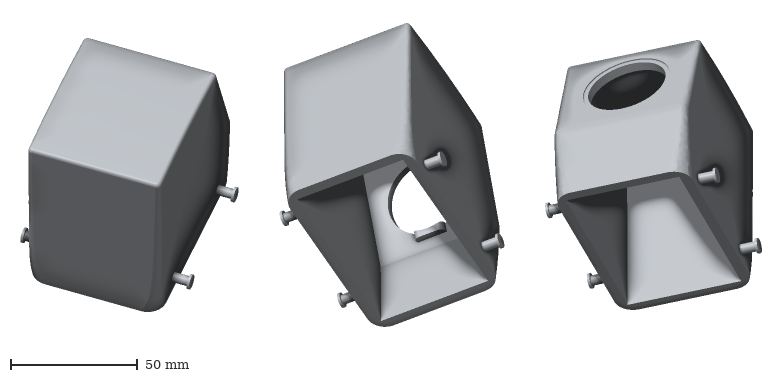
import cadquery as cq
import math

BODY_WIDTH = 55.9
BODY_LENGTH = 82.0
BODY_HEIGHT = 76.9
WALL = 4.3

FRONT_DRAFT = 0.9
BACK_DRAFT = 0.3
FRONT_EAVE_Z = 75.1
SLOPE_FOOT_Z = 31.65
SLOPE_TOP_Y = 23.8
SLOPE_TOP_Z = 75.7
CROWN_Y = -4.9

SLOPE_FOOT_RADIUS = 12.3
ROOF_EDGE_RADIUS = 1.55

FRONT_ROUNDING = [(0.0, 7.7), (15.6, 3.5), (31.2, 2.8), (46.7, 2.4), (62.3, 2.05), (77.9, 1.7)]
BACK_ROUNDING = [(0.0, 7.7), (13.1, 4.9), (SLOPE_FOOT_Z, 3.1)]
SLOPE_ROUNDING = [(SLOPE_FOOT_Z, 3.1), (77.9, 1.7)]

ENTRY_DIAMETER = 32.15
RECESS_DIAMETER = 36.1
RECESS_DEPTH = 0.5
ENTRY_Z = 53.95
TAB_WIDTH = 12.95
TAB_THICKNESS = 2.5
TAB_LENGTH = 8.1
TAB_CORNER_RADIUS = 2.5

PIN_SPAN = 71.0
PIN_SPACING = 49.5
PIN_Z = 6.2
PIN_DIAMETER = 4.1
PIN_HEAD_DIAMETER = 6.15
PIN_HEAD_THICKNESS = 1.1

MARGIN = 4.1

half_width = BODY_WIDTH / 2
half_length = BODY_LENGTH / 2
slope_foot_y = half_length - BACK_DRAFT
slope_run = slope_foot_y - SLOPE_TOP_Y
slope_rise = SLOPE_TOP_Z - SLOPE_FOOT_Z


def side_profile(rim_z=0.0):
    """Closed YZ outline of the hood, starting at the height rim_z."""
    return (
        cq.Workplane("YZ")
        .moveTo(-half_length, rim_z)
        .lineTo(half_length, rim_z)
        .lineTo(slope_foot_y, SLOPE_FOOT_Z)
        .lineTo(SLOPE_TOP_Y, SLOPE_TOP_Z)
        .threePointArc((CROWN_Y, BODY_HEIGHT), (-half_length + FRONT_DRAFT, FRONT_EAVE_Z))
        .close()
    )


def front_wall(z):
    """Distance of the front wall from the XZ plane at height z."""
    return half_length - FRONT_DRAFT * z / FRONT_EAVE_Z


def back_wall(z):
    """Distance of the back wall from the XZ plane at height z."""
    return half_length - BACK_DRAFT * z / SLOPE_FOOT_Z


def slope_wall(z):
    """Distance of the sloping wall from the XZ plane at height z."""
    return slope_foot_y - slope_run * (z - SLOPE_FOOT_Z) / slope_rise


def rounding_cutter(levels, wall):
    """Cutter that rounds the (+X, +Y) corner, more widely toward the bottom.

    levels lists (height, radius); wall gives the Y of the wall at a height.
    """
    outer_x = half_width + MARGIN
    outer_y = half_length + MARGIN
    wires = []
    for height, radius in levels:
        start = (half_width - radius, wall(height))
        end = (half_width, wall(height) - radius)
        reach = radius * math.sqrt(0.5)
        middle = (start[0] + reach, end[1] + reach)
        section = (
            cq.Workplane("XY", origin=(0, 0, height))
            .moveTo(*start)
            .threePointArc(middle, end)
            .lineTo(outer_x, end[1])
            .lineTo(outer_x, outer_y)
            .lineTo(start[0], outer_y)
            .close()
        )
        wires.append(section.val())
    return cq.Workplane(cq.Solid.makeLoft(wires))


def outer_hood():
    """Solid hood with rounded corners and a rounded roof edge."""
    hood = side_profile().extrude(half_width, both=True)
    slope_foot = cq.selectors.NearestToPointSelector((0, slope_foot_y, SLOPE_FOOT_Z))
    hood = hood.edges(slope_foot).fillet(SLOPE_FOOT_RADIUS)

    cutters = (
        rounding_cutter(FRONT_ROUNDING, front_wall).mirror("XZ"),
        rounding_cutter(BACK_ROUNDING, back_wall),
        rounding_cutter(SLOPE_ROUNDING, slope_wall),
    )
    for cutter in cutters:
        hood = hood.cut(cutter).cut(cutter.mirror("YZ"))

    return hood.faces(">Z").edges().fillet(ROOF_EDGE_RADIUS)


def cavity():
    """Interior space, one wall thickness inside the hood and open at the rim."""
    outline = side_profile(rim_z=-WALL).offset2D(-WALL)
    return outline.extrude(half_width - WALL, both=True)


def entry_plane():
    """Plane on the sloping face at the entry centre; x follows -X, y runs up the slope."""
    origin = (0, slope_wall(ENTRY_Z), ENTRY_Z)
    normal = (0, slope_rise, slope_run)
    return cq.Workplane(cq.Plane(origin=origin, xDir=(-1, 0, 0), normal=normal))


def entry_tab():
    """Blank for the tongue that carries the lower side of the bore on into the cavity.

    It is centred on the bore's surface; the bore later removes its upper half.
    """
    mouth = entry_plane()
    blank = (
        mouth.center(0, -ENTRY_DIAMETER / 2)
        .rect(TAB_WIDTH, 2 * TAB_THICKNESS)
        .extrude(-TAB_LENGTH)
    )
    tip = blank.faces(cq.selectors.DirectionMinMaxSelector(mouth.plane.zDir, False))
    corners = tip.edges(cq.selectors.ParallelDirSelector(mouth.plane.yDir))
    return corners.fillet(TAB_CORNER_RADIUS)


def entry_cutter():
    """Bore through the sloping wall with a shallow round recess at its mouth."""
    bore = entry_plane().circle(ENTRY_DIAMETER / 2).extrude(-TAB_LENGTH - MARGIN)
    recess = entry_plane().circle(RECESS_DIAMETER / 2).extrude(-RECESS_DEPTH)
    return bore.union(recess)


def locking_pin(y):
    """Headed pin standing out of the +X wall."""
    head_face = PIN_SPAN / 2
    root = half_width - WALL / 2
    shank = (
        cq.Workplane("YZ", origin=(root, y, PIN_Z))
        .circle(PIN_DIAMETER / 2)
        .extrude(head_face - root)
    )
    head = (
        cq.Workplane("YZ", origin=(head_face, y, PIN_Z))
        .circle(PIN_HEAD_DIAMETER / 2)
        .extrude(-PIN_HEAD_THICKNESS)
    )
    return shank.union(head)


result = outer_hood().cut(cavity()).union(entry_tab()).cut(entry_cutter())

for pin_y in (-PIN_SPACING / 2, PIN_SPACING / 2):
    pin = locking_pin(pin_y)
    result = result.union(pin).union(pin.mirror("YZ"))

result = cq.Workplane(result.solids().val())